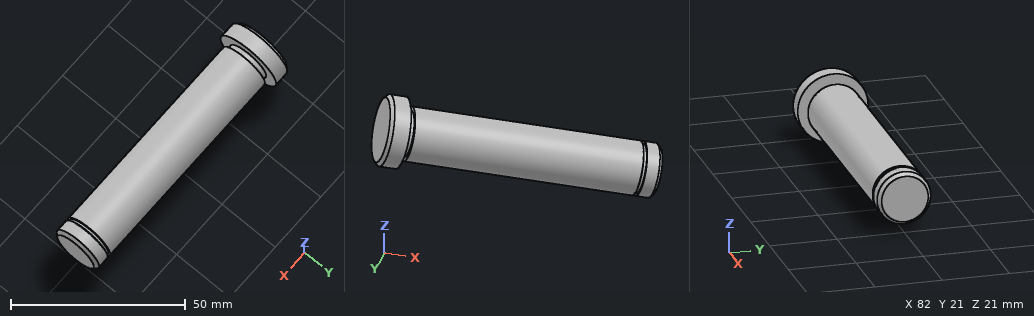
import cadquery as cq

length = 82.0
head_diameter = 21.0
head_thickness = 6.0
head_chamfer = 1.1
shank_diameter = 16.0
tip_chamfer = 1.1

relief_diameter = 13.5
relief_width = 2.0

ring_groove_diameter = 14.6
ring_groove_width = 1.1
ring_groove_end_distance = 4.8


def cylinder(diameter, start, width):
    """Solid cylinder along X, beginning at x = start."""
    return cq.Workplane("YZ", origin=(start, 0, 0)).circle(diameter / 2).extrude(width)


def groove(floor_diameter, start, width):
    """Ring of material to remove from the shank down to floor_diameter."""
    return cylinder(shank_diameter, start, width).cut(cylinder(floor_diameter, start, width))


head = cylinder(head_diameter, 0, head_thickness).faces("<X").chamfer(head_chamfer)
shank = cylinder(shank_diameter, head_thickness, length - head_thickness).faces(">X").chamfer(tip_chamfer)

relief = groove(relief_diameter, head_thickness, relief_width)
ring_groove_start = length - ring_groove_end_distance - ring_groove_width
ring_groove = groove(ring_groove_diameter, ring_groove_start, ring_groove_width)

result = head.union(shank.cut(relief).cut(ring_groove))